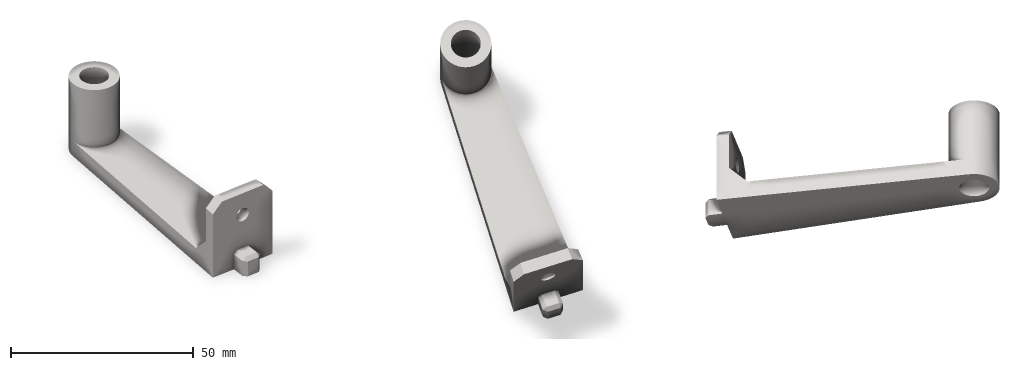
import cadquery as cq

total_length = 82.0
height = 24.0
wide_end = 20.0

boss_diameter = 14.0
bore_diameter = 8.2
boss_radius = boss_diameter / 2

arm_thickness = 5.0
wall_thickness = 3.5
gusset_leg = 5.0
corner_chamfer = 3.0
wall_hole_diameter = 4.2
wall_hole_height = 17.0

peg_length = 5.0
peg_width = 5.8
peg_height = 6.0
peg_chamfer = 1.1

wall_back = total_length - peg_length
wall_front = wall_back - wall_thickness


def make_bracket():
    """L-shaped side profile trimmed to the tapered plan outline."""
    profile = (
        cq.Workplane("XZ")
        .moveTo(boss_radius, 0)
        .lineTo(wall_back, 0)
        .lineTo(wall_back, height)
        .lineTo(wall_front, height)
        .lineTo(wall_front, arm_thickness + gusset_leg)
        .lineTo(wall_front - gusset_leg, arm_thickness)
        .lineTo(boss_radius, arm_thickness)
        .close()
        .extrude(wide_end / 2, both=True)
    )
    taper = (
        cq.Workplane("XY")
        .moveTo(boss_radius, -boss_radius)
        .lineTo(wall_back, -wide_end / 2)
        .lineTo(wall_back, wide_end / 2)
        .lineTo(boss_radius, boss_radius)
        .close()
        .extrude(height)
    )
    bracket = profile.intersect(taper)
    top_face = bracket.faces(">Z")
    bracket = top_face.edges("<Y or >Y").chamfer(corner_chamfer)
    wall_hole = (
        cq.Workplane("YZ", origin=(wall_front, 0, wall_hole_height))
        .circle(wall_hole_diameter / 2)
        .extrude(wall_thickness)
    )
    return bracket.cut(wall_hole)


def make_peg():
    """Rectangular peg with bevelled top and end edges and a flat underside."""
    peg = cq.Workplane("XY").box(
        peg_length, peg_width, peg_height, centered=(False, True, False)
    )
    top_and_end_edges = peg.edges("(|X and >Z) or (>X and (not <Z))")
    peg = top_and_end_edges.chamfer(peg_chamfer)
    return peg.translate((wall_back, 0, 0))


boss_plane = cq.Workplane("XY", origin=(boss_radius, 0, 0))
boss = boss_plane.circle(boss_radius).extrude(height)
bore = boss_plane.circle(bore_diameter / 2).extrude(height)

result = make_bracket().union(boss).union(make_peg()).cut(bore)